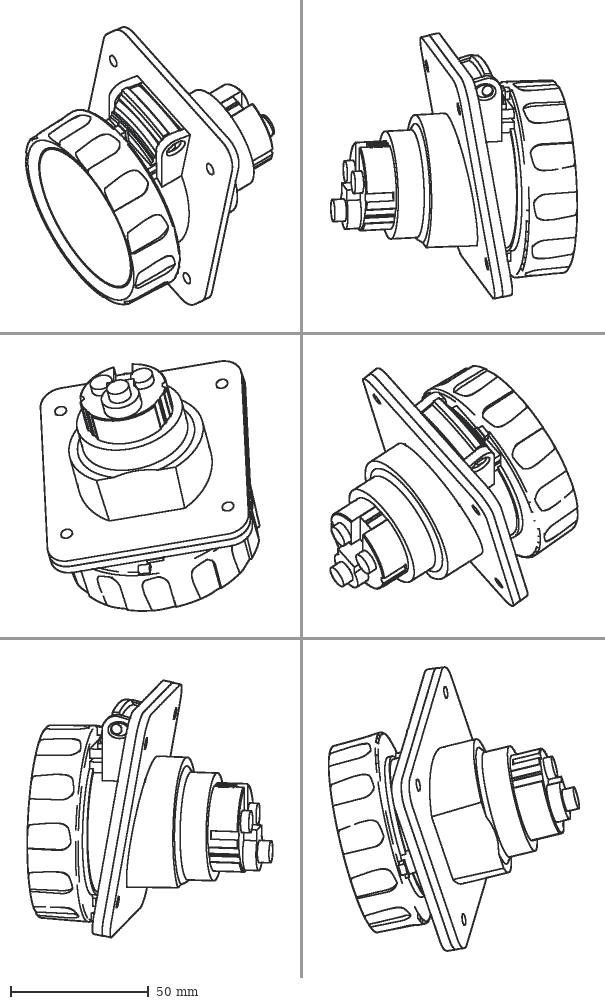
import cadquery as cq
import math


PLATE_WIDTH = 75.0
PLATE_HEIGHT = 84.5
PLATE_REAR_LAYER = 3.0
PLATE_FRONT_LAYER = 3.8
PLATE_THICKNESS = PLATE_REAR_LAYER + PLATE_FRONT_LAYER
PLATE_TILT = 10.0
PLATE_CORNER_RADIUS = 8.0
PLATE_EDGE_FILLET = 0.5
GASKET_INSET = 0.1
SCREW_PITCH_X = 60.0
SCREW_PITCH_Z = 59.0
SCREW_CENTER_Z = 0.5
SCREW_DIAMETER = 4.2

AXIS_Z = -5.65
BARREL_RADIUS = 25.0
BARREL_REAR_Y = 17.8
BARREL_FRONT_Y = -17.0
BARREL_FLAT_DROP = 20.2
BARREL_FLAT_DRAFT = 1.5
BARREL_FLAT_END_Y = -4.0
COLLAR_RADIUS = 26.2
COLLAR_REAR_Y = -13.7
COLLAR_GAP_HALF_WIDTH = 13.3
CONE_LARGE_RADIUS = 21.8
HOUSING_RADIUS = 19.65
HOUSING_FRONT_Y = 19.5
HOUSING_REAR_Y = 29.1
INSERT_RADIUS = 16.1
INSERT_REAR_Y = 40.35
INSERT_CHAMFER = 0.4

KEY_RADIUS = 5.0
KEY_BOTTOM_Z = -33.9
KEY_REAR_Y = -6.0
LATCH_WIDTH = 6.0
LATCH_DROP = 2.0
LATCH_REAR_Y = -14.6

SLOT_COUNT = 3
SLOT_WIDTH = 7.0
SLOT_DEPTH = 0.7
SLOT_RIB_WIDTH = 1.0
SIDE_GROOVE_RADIUS = 1.55
SIDE_GROOVE_FRONT_Y = 30.1
NOTCH_FRONT_Y = 36.3
TERMINAL_RADIUS = 4.05
TERMINAL_X = 7.5
TERMINAL_RISE = 3.75
TERMINAL_REAR_Y = 43.4
EARTH_DROP = 8.55
EARTH_REAR_Y = 49.5
EARTH_COLLAR_RADIUS = 7.0
EARTH_COLLAR_REAR_Y = 45.25
EARTH_NECK_HALF_WIDTH = 5.0
EARTH_NECK_RISE = 0.3

CAP_REAR_Y = -15.4
CAP_CENTER_Z = -6.0
CAP_LENGTH = 19.0
CAP_TILT = 0.75
CAP_REAR_RADIUS = 35.8
CAP_FRONT_RADIUS = 35.1
CAP_REAR_FILLET = 0.8
CAP_FRONT_FILLET = 1.2
RIM_INNER_RADIUS = 32.9
DISH_DEPTH = 2.0
DISH_INNER_RADIUS = 28.85
DOME_RADIUS = 28.3
DOME_EDGE_STEP = 0.2
DOME_HEIGHT = 3.1
GRIP_COUNT = 12
GRIP_PHASE = -2.2
GRIP_WIDTH = 9.9
GRIP_FLOOR_RADIUS = 34.3
GRIP_FLOOR_TILT = 9.0
GRIP_REAR_GAP = 2.2
GRIP_RAMP_LENGTH = 3.8
GRIP_RAMP_RISE = 2.2
GRIP_RAMP_BEND = 0.7
NUB_PHASE = -6.6
NUB_WIDTH = 4.2
NUB_HEIGHT = 3.0
NUB_RADIUS = 35.5
NUB_PROTRUSION = 1.8
NUB_ROUNDING = 0.8
NUB_HEAD_WIDTH = 4.9
NUB_HEAD_LENGTH = 1.2
NUB_HEAD_TOP_RADIUS = 36.1
NUB_HEAD_BOTTOM_RADIUS = 30.6

LUG_INNER_X = 12.85
LUG_OUTER_X = 16.4
LUG_FRONT_Y = -9.9
LUG_BOTTOM_Z = 13.0
LUG_REAR_Y = 6.0
LUG_ROUND_RADIUS = 5.1
LUG_ROUND_CENTER_Z = 32.1
LUG_TANGENT_ANGLE = 70.0
LUG_REAR_TOP = (2.9, 35.3)
PIVOT_Y = -3.6
PIN_Y = -4.9
PIN_RADIUS = 1.95
PIN_HOLE_DEPTH = 2.5
RECESS_LENGTH = 8.2
RECESS_HEIGHT = 6.2
RECESS_FLOOR_LENGTH = 6.2
RECESS_FLOOR_HEIGHT = 4.6
RECESS_DEPTH = 1.2
HINGE_WALL_FRONT_Y = 1.5
SADDLE_TOP_Z = 19.4
ARM_HALF_WIDTH = 12.8
KNUCKLE_CURVE_RADIUS = 80.0
FOOT_HALF_WIDTH = 13.3
FOOT_BOTTOM_Z = 20.8
FOOT_TOP_Z = 24.2
ARM_FRONT_Y = -12.2
RIDGE_TOP_Z = 39.0
SHOULDER_Y = -8.3
SHOULDER_Z = 35.4
SKIRT_REAR_Y = -1.0
LEDGE_Y = -11.2
LEDGE_Z = 28.6


def disc(radius, front_y, rear_y, x=0.0, z=AXIS_Z):
    """Cylinder along Y between two stations."""
    plane = cq.Plane(origin=(x, front_y, z), xDir=(1, 0, 0), normal=(0, 1, 0))
    return cq.Workplane(plane).circle(radius).extrude(rear_y - front_y)


def block(x_min, x_max, y_min, y_max, z_min, z_max):
    """Axis-aligned box between limits."""
    size = (x_max - x_min, y_max - y_min, z_max - z_min)
    return cq.Workplane("XY").box(*size, centered=False).translate((x_min, y_min, z_min))


def spin(body, angle, z=AXIS_Z):
    """Turn a body about the Y axis through height z."""
    return body.rotate((0, 0, z), (0, 1, z), angle)


def make_plate():
    """Two-layer plate with rounded corners, tilted about X, with four screw holes along Y."""
    front = (
        cq.Workplane("XZ", origin=(0, PLATE_THICKNESS / 2 - PLATE_REAR_LAYER, 0))
        .rect(PLATE_WIDTH, PLATE_HEIGHT)
        .extrude(PLATE_FRONT_LAYER)
        .edges("|Y").fillet(PLATE_CORNER_RADIUS)
        .faces("<Y").edges().fillet(PLATE_EDGE_FILLET)
    )
    rear = (
        cq.Workplane("XZ", origin=(0, PLATE_THICKNESS / 2, 0))
        .rect(PLATE_WIDTH - 2 * GASKET_INSET, PLATE_HEIGHT - 2 * GASKET_INSET)
        .extrude(PLATE_REAR_LAYER)
        .edges("|Y").fillet(PLATE_CORNER_RADIUS - GASKET_INSET)
    )
    holes = (
        cq.Workplane("XZ", origin=(0, PLATE_WIDTH / 2, SCREW_CENTER_Z))
        .rect(SCREW_PITCH_X, SCREW_PITCH_Z, forConstruction=True).vertices()
        .circle(SCREW_DIAMETER / 2)
        .extrude(PLATE_WIDTH)
    )
    return front.union(rear).rotate((0, 0, 0), (1, 0, 0), -PLATE_TILT).cut(holes)


def make_barrel():
    """Barrel and rear cone with a flat underside behind the plate."""
    barrel = disc(BARREL_RADIUS, BARREL_FRONT_Y, BARREL_REAR_Y)
    cone = (
        cq.Workplane("XZ", origin=(0, BARREL_REAR_Y, AXIS_Z)).circle(CONE_LARGE_RADIUS)
        .workplane(offset=BARREL_REAR_Y - HOUSING_FRONT_Y).circle(HOUSING_RADIUS)
        .loft()
    )
    flat_z = AXIS_Z - BARREL_FLAT_DROP
    under = block(-BARREL_RADIUS, BARREL_RADIUS, BARREL_FLAT_END_Y, HOUSING_FRONT_Y,
                  flat_z - BARREL_RADIUS, flat_z)
    rear_edge = (BARREL_REAR_Y, flat_z)
    under = under.rotate((0, *rear_edge), (1, *rear_edge), BARREL_FLAT_DRAFT)
    return barrel.union(cone).cut(under)


def make_barrel_front():
    """Interrupted collar, keyway bulge and latch at the front of the barrel."""
    collar = disc(COLLAR_RADIUS, BARREL_FRONT_Y, COLLAR_REAR_Y)
    gap = block(-COLLAR_GAP_HALF_WIDTH, COLLAR_GAP_HALF_WIDTH, BARREL_FRONT_Y, COLLAR_REAR_Y,
                AXIS_Z, AXIS_Z + 2 * COLLAR_RADIUS)
    key = disc(KEY_RADIUS, BARREL_FRONT_Y, KEY_REAR_Y, z=KEY_BOTTOM_Z + KEY_RADIUS)
    latch = block(-LATCH_WIDTH / 2, LATCH_WIDTH / 2, BARREL_FRONT_Y, LATCH_REAR_Y,
                  KEY_BOTTOM_Z - LATCH_DROP, KEY_BOTTOM_Z + KEY_RADIUS)
    return collar.cut(gap).union(key).union(latch)


def make_rear_body():
    """Housing and terminal insert, with shallow slots, side grooves and a notch on top."""
    housing = disc(HOUSING_RADIUS, HOUSING_FRONT_Y, HOUSING_REAR_Y)
    insert = disc(INSERT_RADIUS, HOUSING_REAR_Y, INSERT_REAR_Y).faces(">Y").chamfer(INSERT_CHAMFER)

    slot_floor_z = AXIS_Z + INSERT_RADIUS - SLOT_DEPTH
    slot = block(-SLOT_WIDTH / 2, SLOT_WIDTH / 2, HOUSING_REAR_Y, INSERT_REAR_Y,
                 slot_floor_z, AXIS_Z + HOUSING_RADIUS)
    rib = block(-SLOT_RIB_WIDTH / 2, SLOT_RIB_WIDTH / 2, HOUSING_REAR_Y, INSERT_REAR_Y,
                slot_floor_z, slot_floor_z + SLOT_DEPTH / 2)
    slot = slot.cut(rib)
    for i in range(SLOT_COUNT):
        insert = insert.cut(spin(slot, i * 360 / SLOT_COUNT))

    for side in (-1, 1):
        groove = disc(SIDE_GROOVE_RADIUS, SIDE_GROOVE_FRONT_Y, INSERT_REAR_Y, side * INSERT_RADIUS)
        insert = insert.cut(groove)
    notch = block(-SLOT_WIDTH / 2, SLOT_WIDTH / 2, NOTCH_FRONT_Y, INSERT_REAR_Y,
                  AXIS_Z + EARTH_NECK_RISE, AXIS_Z + HOUSING_RADIUS)
    return housing.union(insert.cut(notch))


def make_terminals():
    """Two contact terminals, and the earth terminal with its collar and neck."""
    earth_z = AXIS_Z - EARTH_DROP
    body = disc(TERMINAL_RADIUS, INSERT_REAR_Y, EARTH_REAR_Y, z=earth_z)
    for side in (-1, 1):
        body = body.union(disc(TERMINAL_RADIUS, INSERT_REAR_Y, TERMINAL_REAR_Y,
                               side * TERMINAL_X, AXIS_Z + TERMINAL_RISE))
    collar = disc(EARTH_COLLAR_RADIUS, INSERT_REAR_Y, EARTH_COLLAR_REAR_Y, z=earth_z)
    neck = block(-EARTH_NECK_HALF_WIDTH, EARTH_NECK_HALF_WIDTH, INSERT_REAR_Y, EARTH_COLLAR_REAR_Y,
                 earth_z, AXIS_Z + EARTH_NECK_RISE)
    return body.union(collar).union(neck)


def make_grip():
    """Cutter for one finger grip: a round-ended trough with a sloping floor and a rear ramp."""
    half_width = GRIP_WIDTH / 2
    front_y = -2 * CAP_LENGTH
    top_z = 2 * CAP_REAR_RADIUS
    straight_y = -GRIP_REAR_GAP - half_width
    outline = (
        cq.Workplane("XY")
        .moveTo(-half_width, front_y)
        .lineTo(-half_width, straight_y)
        .threePointArc((0, -GRIP_REAR_GAP), (half_width, straight_y))
        .lineTo(half_width, front_y)
        .close()
        .extrude(top_z)
    )
    ramp_end = (-GRIP_REAR_GAP, GRIP_FLOOR_RADIUS + GRIP_RAMP_RISE)
    ramp_start_y = -GRIP_REAR_GAP - GRIP_RAMP_LENGTH
    ramp_middle = (ramp_start_y + GRIP_RAMP_LENGTH / 2,
                   GRIP_FLOOR_RADIUS + GRIP_RAMP_RISE / 2 - GRIP_RAMP_BEND)
    above_floor = (
        cq.Workplane("YZ", origin=(-GRIP_WIDTH, 0, 0))
        .moveTo(front_y, GRIP_FLOOR_RADIUS)
        .lineTo(ramp_start_y, GRIP_FLOOR_RADIUS)
        .threePointArc(ramp_middle, ramp_end)
        .lineTo(ramp_end[0], top_z)
        .lineTo(front_y, top_z)
        .close()
        .extrude(2 * GRIP_WIDTH)
    )
    return outline.intersect(spin(above_floor, GRIP_FLOOR_TILT, GRIP_FLOOR_RADIUS))


def make_cap():
    """Tapered cap with a dished rim, a domed centre, finger grips and two rear nubs."""
    rim_y = -CAP_LENGTH
    shell = (
        cq.Workplane("XY")
        .polyline([(0, 0), (CAP_REAR_RADIUS, 0), (CAP_FRONT_RADIUS, rim_y), (0, rim_y)]).close()
        .revolve(360, (0, 0, 0), (0, 1, 0))
        .faces(">Y").edges().fillet(CAP_REAR_FILLET)
        .faces("<Y").edges().fillet(CAP_FRONT_FILLET)
    )
    dish = (
        cq.Workplane("XY")
        .polyline([
            (0, rim_y),
            (RIM_INNER_RADIUS, rim_y),
            (DISH_INNER_RADIUS, rim_y + DISH_DEPTH),
            (0, rim_y + DISH_DEPTH),
        ]).close()
        .revolve(360, (0, 0, 0), (0, 1, 0))
    )
    dome_edge_y = rim_y + DISH_DEPTH - DOME_EDGE_STEP
    dome_tip_y = rim_y - DOME_HEIGHT
    dome_sag = dome_edge_y - dome_tip_y
    sphere_radius = (DOME_RADIUS ** 2 + dome_sag ** 2) / (2 * dome_sag)
    half_angle = math.asin(DOME_RADIUS / sphere_radius) / 2
    mid_point = (sphere_radius * math.sin(half_angle),
                 dome_tip_y + sphere_radius * (1 - math.cos(half_angle)))
    dome = (
        cq.Workplane("XY")
        .moveTo(0, dome_tip_y)
        .threePointArc(mid_point, (DOME_RADIUS, dome_edge_y))
        .lineTo(DOME_RADIUS, rim_y + DISH_DEPTH)
        .lineTo(0, rim_y + DISH_DEPTH)
        .close()
        .revolve(360, (0, 0, 0), (0, 1, 0))
    )
    cap = shell.cut(dish).union(dome)

    grip = make_grip()
    for i in range(GRIP_COUNT):
        cap = cap.cut(spin(grip, GRIP_PHASE + i * 360 / GRIP_COUNT, 0))

    nub = block(-NUB_WIDTH / 2, NUB_WIDTH / 2, -GRIP_REAR_GAP, NUB_PROTRUSION,
                NUB_RADIUS - NUB_HEIGHT, NUB_RADIUS)
    head = block(-NUB_HEAD_WIDTH / 2, NUB_HEAD_WIDTH / 2, NUB_PROTRUSION, NUB_PROTRUSION + NUB_HEAD_LENGTH,
                 NUB_HEAD_BOTTOM_RADIUS, NUB_HEAD_TOP_RADIUS)
    rounded_nub = nub.faces(">Y").edges("|X").fillet(NUB_ROUNDING)
    cap = cap.union(spin(nub.union(head), NUB_PHASE, 0))
    cap = cap.union(spin(rounded_nub, NUB_PHASE + 180, 0))
    return cap.rotate((0, 0, 0), (1, 0, 0), -CAP_TILT).translate((0, CAP_REAR_Y, CAP_CENTER_Z))


def make_lugs():
    """Two side lugs with pin recesses, the wall behind the arm and the saddle below it."""
    round_y = LUG_FRONT_Y + LUG_ROUND_RADIUS
    slope = math.radians(LUG_TANGENT_ANGLE)
    tangent = (round_y + LUG_ROUND_RADIUS * math.cos(slope),
               LUG_ROUND_CENTER_Z + LUG_ROUND_RADIUS * math.sin(slope))
    diagonal = LUG_ROUND_RADIUS * math.sqrt(0.5)
    lug = (
        cq.Workplane("YZ", origin=(-LUG_OUTER_X, 0, 0))
        .moveTo(LUG_REAR_Y, LUG_BOTTOM_Z)
        .lineTo(LUG_FRONT_Y, LUG_BOTTOM_Z)
        .lineTo(LUG_FRONT_Y, LUG_ROUND_CENTER_Z)
        .threePointArc((round_y - diagonal, LUG_ROUND_CENTER_Z + diagonal), tangent)
        .lineTo(*LUG_REAR_TOP)
        .lineTo(LUG_REAR_Y, LUG_REAR_TOP[1])
        .close()
        .extrude(LUG_OUTER_X - LUG_INNER_X)
    )
    outer_face = cq.Workplane("YZ", origin=(-LUG_OUTER_X, 0, 0))
    recess = outer_face.center(PIVOT_Y, LUG_ROUND_CENTER_Z)
    recess = (
        recess.ellipse(RECESS_LENGTH / 2, RECESS_HEIGHT / 2)
        .workplane(offset=RECESS_DEPTH)
        .ellipse(RECESS_FLOOR_LENGTH / 2, RECESS_FLOOR_HEIGHT / 2)
        .loft()
    )
    pin_hole = outer_face.center(PIN_Y, LUG_ROUND_CENTER_Z).circle(PIN_RADIUS).extrude(PIN_HOLE_DEPTH)
    lug = lug.cut(recess).cut(pin_hole)

    wall = block(-LUG_INNER_X, LUG_INNER_X, HINGE_WALL_FRONT_Y, LUG_REAR_Y, LUG_BOTTOM_Z, LUG_REAR_TOP[1])
    saddle = block(-COLLAR_GAP_HALF_WIDTH, COLLAR_GAP_HALF_WIDTH, BARREL_FRONT_Y, LUG_REAR_Y,
                   AXIS_Z, SADDLE_TOP_Z)
    return lug.union(lug.mirror("YZ")).union(wall).union(saddle)


def revolve_about(points, center_z, half_width):
    """Turn a (y, z) outline about a Y-parallel axis at center_z and keep the middle strip."""
    outline = [(z - center_z, y) for y, z in points]
    ring = cq.Workplane("XY").polyline(outline).close().revolve(360, (0, 0, 0), (0, 1, 0))
    ring = spin(ring, 90, 0).translate((0, 0, center_z))
    y_values = [y for y, _ in points]
    strip = block(-half_width, half_width, min(y_values), max(y_values),
                  center_z, center_z + 2 * KNUCKLE_CURVE_RADIUS)
    return ring.intersect(strip)


def make_arm():
    """Curved hinge arm: knuckle with a stop ridge, a skirt, and a foot joined to the cap."""
    knuckle_outline = [
        (1.0, 30.0),
        (1.0, 36.0),
        (-3.6, 37.2),
        (-4.2, RIDGE_TOP_Z),
        (-6.7, RIDGE_TOP_Z),
        (-7.0, 36.7),
        (SHOULDER_Y, 35.6),
        (SHOULDER_Y, 30.0),
    ]
    knuckle = revolve_about(knuckle_outline, RIDGE_TOP_Z - KNUCKLE_CURVE_RADIUS, ARM_HALF_WIDTH)
    skirt_outline = [
        (SKIRT_REAR_Y, FOOT_TOP_Z),
        (SKIRT_REAR_Y, SHOULDER_Z),
        (SHOULDER_Y, SHOULDER_Z),
        (-9.9, 32.9),
        (-10.4, 30.3),
        (LEDGE_Y, 30.3),
        (LEDGE_Y, LEDGE_Z),
        (ARM_FRONT_Y, LEDGE_Z),
        (ARM_FRONT_Y, FOOT_TOP_Z),
    ]
    skirt = revolve_about(skirt_outline, AXIS_Z, ARM_HALF_WIDTH)
    foot = block(-FOOT_HALF_WIDTH, FOOT_HALF_WIDTH, BARREL_FRONT_Y, LUG_FRONT_Y, FOOT_BOTTOM_Z, FOOT_TOP_Z)
    return knuckle.union(skirt).union(foot)


result = (
    make_barrel()
    .union(make_barrel_front())
    .union(make_rear_body())
    .union(make_terminals())
    .union(make_plate())
    .union(make_lugs())
    .union(make_arm())
    .union(make_cap())
)